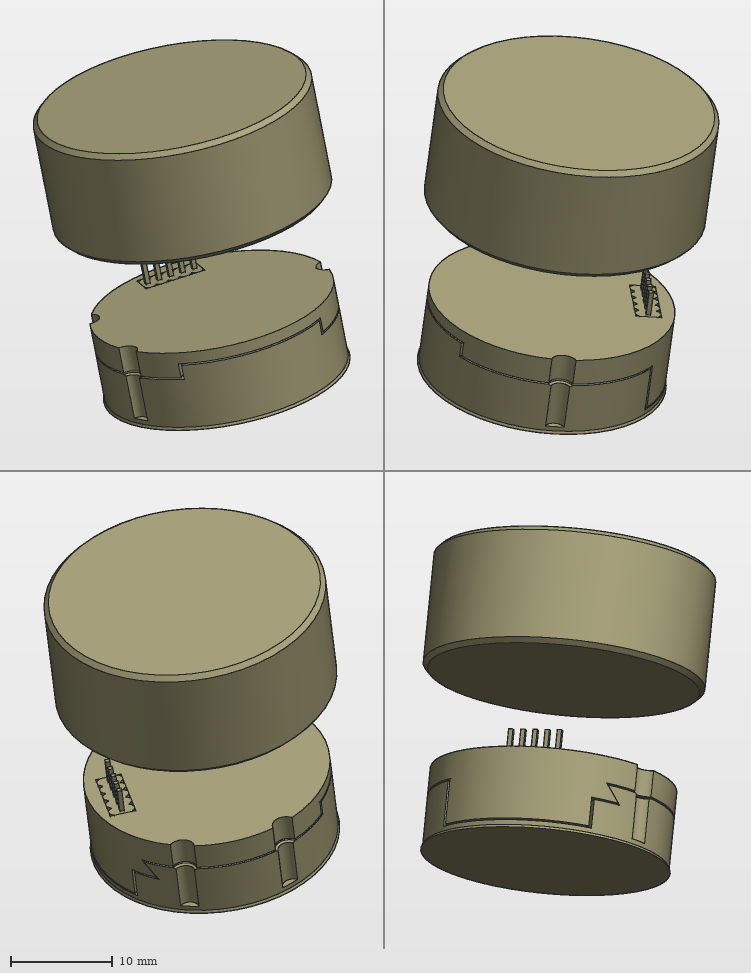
import cadquery as cq
import math

FULL_TURN = 360.0

SPIN_ANGLE = 51.6
LEAN_ABOUT_Y = -11.0
LEAN_ABOUT_X = 1.5

CAP_DIAMETER = 28.0
CAP_HEIGHT = 12.0
CAP_CHAMFER = 0.5
CAP_BOTTOM = 18.6

HOUSING_DIAMETER = 24.5
HOUSING_RADIUS = HOUSING_DIAMETER / 2
HOUSING_HEIGHT = 8.33
SEAM_HEIGHT = 5.65
RAISED_SEAM_HEIGHT = 7.15
CATCH_BOTTOM = 3.9
SKIRT_BOTTOM = 0.95
SEAM_GAP = 0.18

SIDE_START_ANGLE = 51.2
SIDE_END_ANGLE = 127.5
SIDE_CLEARANCE = 0.7

CATCH_TIP_ANGLE = 140.7
CATCH_TOP_ANGLE = 133.6
CATCH_ROOT = 0.52

RIM_HEIGHT = 0.28
RIM_FLARE = 0.15

REAR_GROOVE_ANGLE = 155.2
GROOVE_ANGLES = (0.0, REAR_GROOVE_ANGLE, -REAR_GROOVE_ANGLE)
GROOVE_AXIS_RADIUS = HOUSING_RADIUS + 0.3
UPPER_GROOVE_DIAMETER = 2.52
LOWER_GROOVE_DIAMETER = 2.0
LEAD_IN_HEIGHT = 0.15
GROOVE_BOTTOM = SKIRT_BOTTOM - SEAM_GAP

PIN_COUNT = 5
PIN_PITCH = 1.25
PIN_SIDE = 0.45
PIN_REACH = 2.5
HEADER_X = -0.75
HEADER_Y = 9.45
HEADER_LENGTH = PIN_COUNT * PIN_PITCH
HEADER_WIDTH = 2.6
HEADER_DEPTH = 1.25
HEADER_CHAMFER = 0.4
HEADER_BOTTOM = HOUSING_HEIGHT - HEADER_DEPTH
PIN_POSITIONS = [
    (HEADER_X + PIN_PITCH * (i - (PIN_COUNT - 1) / 2), HEADER_Y) for i in range(PIN_COUNT)
]


def polar(radius, angle):
    """The X and Y of a point at a radius and an angle in degrees."""
    return radius * math.cos(math.radians(angle)), radius * math.sin(math.radians(angle))


def cylinder(diameter, bottom, top, center=(0, 0)):
    return cq.Workplane("XY", origin=(*center, bottom)).circle(diameter / 2).extrude(top - bottom)


def block(length, width, bottom, top, center):
    return cq.Workplane("XY", origin=(*center, bottom)).rect(length, width).extrude(top - bottom)


def sector(start, end, bottom, top):
    """A pie slice of the housing between two angles and two heights."""
    return (
        cq.Workplane("XY", origin=(0, 0, bottom))
        .lineTo(*polar(HOUSING_RADIUS, start))
        .threePointArc(polar(HOUSING_RADIUS, (start + end) / 2), polar(HOUSING_RADIUS, end))
        .close()
        .extrude(top - bottom)
    )


def side_sector(side, growth, bottom, top):
    """The skirt's slice (side 1) or the raised block's slice (side -1), widened by an angle."""
    start = side * (SIDE_START_ANGLE - growth)
    end = side * (SIDE_END_ANGLE + growth)
    return sector(start, end, bottom, top)


def rest_sector(side, growth, bottom, top):
    """The remaining slice that the matching side sector leaves free."""
    start = side * (SIDE_END_ANGLE + growth)
    end = side * (FULL_TURN + SIDE_START_ANGLE - growth)
    return sector(start, end, bottom, top)


def catch_prism(bottom):
    """A prism running out from the axis at the end of the skirt, undercut on its far side."""
    tip = HOUSING_RADIUS * math.sin(math.radians(CATCH_TIP_ANGLE - SIDE_END_ANGLE))
    shoulder = HOUSING_RADIUS * math.sin(math.radians(CATCH_TOP_ANGLE - SIDE_END_ANGLE))
    undercut_slope = (tip - shoulder) / (SEAM_HEIGHT - CATCH_BOTTOM)
    foot = shoulder + undercut_slope * (SEAM_HEIGHT - bottom)
    facing_outward = cq.Plane(
        origin=(0, 0, 0),
        xDir=(*polar(1, SIDE_END_ANGLE + 90), 0),
        normal=(*polar(1, SIDE_END_ANGLE), 0),
    )
    outline = [
        (-CATCH_ROOT, bottom),
        (foot, bottom),
        (shoulder, SEAM_HEIGHT),
        (-CATCH_ROOT, SEAM_HEIGHT),
    ]
    return cq.Workplane(facing_outward).polyline(outline).close().extrude(HOUSING_RADIUS)


def around_housing(cutter):
    """A copy of the cutter at each groove angle."""
    return [cutter.rotate((0, 0, 0), (0, 0, 1), angle) for angle in GROOVE_ANGLES]


def groove_cutters(diameter):
    upright = cylinder(diameter, GROOVE_BOTTOM, HOUSING_HEIGHT, (GROOVE_AXIS_RADIUS, 0))
    return around_housing(upright)


def groove_lead_ins(seam_top):
    """Cones that widen the lower grooves to meet the upper ones at the seam."""
    cone = (
        cq.Workplane("XY", origin=(GROOVE_AXIS_RADIUS, 0, seam_top - LEAD_IN_HEIGHT))
        .circle(LOWER_GROOVE_DIAMETER / 2)
        .workplane(offset=LEAD_IN_HEIGHT)
        .circle(UPPER_GROOVE_DIAMETER / 2)
        .loft()
    )
    return around_housing(cone)


def cut_all(body, cutters):
    for cutter in cutters:
        body = body.cut(cutter)
    return body


def make_cap():
    cap = cylinder(CAP_DIAMETER, CAP_BOTTOM, CAP_BOTTOM + CAP_HEIGHT)
    return cap.faces("<Z or >Z").edges().chamfer(CAP_CHAMFER)


def make_lower_housing():
    seam_top = SEAM_HEIGHT - SEAM_GAP
    raised_top = RAISED_SEAM_HEIGHT - SEAM_GAP
    body = cylinder(HOUSING_DIAMETER, 0, raised_top)
    body = body.cut(rest_sector(-1, -SIDE_CLEARANCE, seam_top, raised_top))
    skirt_recess = side_sector(1, SIDE_CLEARANCE, SKIRT_BOTTOM - SEAM_GAP, seam_top)
    body = body.cut(skirt_recess).cut(catch_prism(CATCH_BOTTOM - SEAM_GAP))
    rim = (
        cq.Workplane("XY")
        .circle(HOUSING_RADIUS + RIM_FLARE)
        .workplane(offset=RIM_HEIGHT)
        .circle(HOUSING_RADIUS)
        .loft()
    )
    cutters = groove_cutters(LOWER_GROOVE_DIAMETER) + groove_lead_ins(seam_top)
    return cut_all(body.union(rim), cutters)


def make_upper_housing():
    body = cylinder(HOUSING_DIAMETER, SKIRT_BOTTOM, HOUSING_HEIGHT)
    below_seam = rest_sector(1, -SIDE_CLEARANCE, SKIRT_BOTTOM, SEAM_HEIGHT)
    body = body.cut(below_seam.cut(catch_prism(CATCH_BOTTOM)))
    body = body.cut(side_sector(-1, SIDE_CLEARANCE, SEAM_HEIGHT, RAISED_SEAM_HEIGHT))
    header_pocket = block(
        HEADER_LENGTH, HEADER_WIDTH, HEADER_BOTTOM, HOUSING_HEIGHT, (HEADER_X, HEADER_Y)
    )
    return cut_all(body.cut(header_pocket), groove_cutters(UPPER_GROOVE_DIAMETER))


def make_pin(position):
    return block(PIN_SIDE, PIN_SIDE, HEADER_BOTTOM, HOUSING_HEIGHT + PIN_REACH, position)


def make_header():
    """A row of corner-chamfered blocks joined end to end, each with a hole for its pin."""
    header = cq.Workplane("XY")
    for position in PIN_POSITIONS:
        cell = block(PIN_PITCH, HEADER_WIDTH, HEADER_BOTTOM, HOUSING_HEIGHT, position)
        header = header.union(cell.edges("|Z").chamfer(HEADER_CHAMFER))
    for position in PIN_POSITIONS:
        header = header.cut(make_pin(position))
    return header


def place(body):
    """Turn an upright body about the common axis, then lean it into its final attitude."""
    origin = (0, 0, 0)
    turned = body.rotate(origin, (0, 0, 1), SPIN_ANGLE)
    leaned = turned.rotate(origin, (0, 1, 0), LEAN_ABOUT_Y)
    return leaned.rotate(origin, (1, 0, 0), LEAN_ABOUT_X).solids()


cap = place(make_cap())
lower_housing = place(make_lower_housing())
upper_housing = place(make_upper_housing())
header = place(make_header())
pins = [place(make_pin(position)) for position in PIN_POSITIONS]

result = cq.Compound.makeCompound(
    [
        cap.val(),
        lower_housing.val(),
        upper_housing.val(),
        header.val(),
        *[pin.val() for pin in pins],
    ]
)